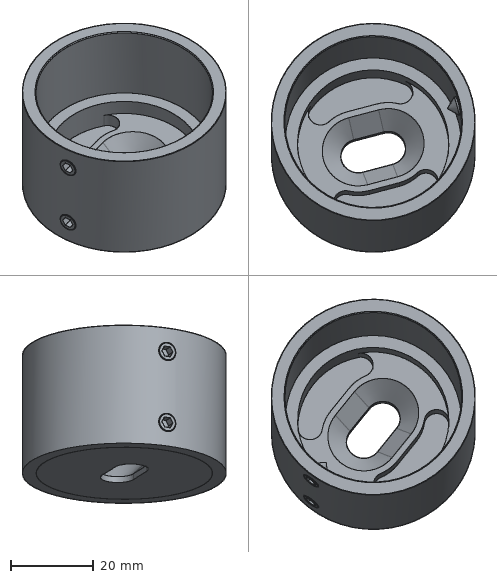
import cadquery as cq
import math

SLEEVE_DIAMETER = 49.5
SLEEVE_HEIGHT = 30.0
BORE_DIAMETER = 42.8
RIM_CHAMFER_OUTER = 0.1
RIM_CHAMFER_INNER = 0.25

BASE_DIAMETER = 42.7
BASE_HEIGHT = 10.0
RECESS_DIAMETER = 36.7
RECESS_FLOOR_Z = 6.0
POCKET_FLOOR_Z = 2.5

SLOT_WIDTH = 8.4
SLOT_CENTER_OFFSET = 3.75
SINK_WIDTH = 17.4
SINK_DEPTH = (SINK_WIDTH - SLOT_WIDTH) / 2

POCKET_INNER_RADIUS = 10.25
POCKET_END_RADIUS = 2.95

SCREW_DIAMETER = 4.55
SCREW_END_DIAMETER = 4.2
SCREW_END_CHAMFER = (SCREW_DIAMETER - SCREW_END_DIAMETER) / 2
SCREW_END_REACH = SLEEVE_DIAMETER / 2
SCREW_TIP_REACH = 18.65
SCREW_INSET = 6.0
SCREW_HEIGHTS = (SCREW_INSET, SLEEVE_HEIGHT - SCREW_INSET)
HEX_ACROSS_FLATS = 2.5
HEX_DEPTH = 2.48


def screw_envelope(z):
    """Outside shape of a set screw along Y at height z, without its hex socket."""
    radius = SCREW_DIAMETER / 2
    outline = (
        cq.Workplane("XY")
        .moveTo(0, -SCREW_END_REACH)
        .lineTo(SCREW_END_DIAMETER / 2, -SCREW_END_REACH)
        .lineTo(radius, -SCREW_END_REACH + SCREW_END_CHAMFER)
        .lineTo(radius, -SCREW_TIP_REACH - radius)
        .lineTo(0, -SCREW_TIP_REACH)
        .close()
    )
    return outline.revolve(360, (0, 0, 0), (0, 1, 0)).translate((0, 0, z))


def make_screw(z):
    """Set screw with a hex socket in its outer end."""
    socket = (
        cq.Workplane("XZ", origin=(0, -SCREW_END_REACH, z))
        .polygon(6, HEX_ACROSS_FLATS / math.cos(math.pi / 6))
        .extrude(-HEX_DEPTH)
    )
    return screw_envelope(z).cut(socket)


def screw_hole(z):
    """Straight round hole that runs from outside the sleeve to the start of the cone point."""
    cone_base_reach = SCREW_TIP_REACH + SCREW_DIAMETER / 2
    return (
        cq.Workplane("XZ", origin=(0, -cone_base_reach, z))
        .circle(SCREW_DIAMETER / 2)
        .extrude(SLEEVE_DIAMETER / 2 - cone_base_reach)
    )


def make_sleeve():
    outer = cq.Workplane("XY").circle(SLEEVE_DIAMETER / 2).extrude(SLEEVE_HEIGHT)
    outer = outer.faces(">Z").edges().chamfer(RIM_CHAMFER_OUTER)
    bore = cq.Workplane("XY").circle(BORE_DIAMETER / 2).extrude(SLEEVE_HEIGHT)
    bore_rim = outer.cut(bore).faces(">Z").edges(cq.selectors.RadiusNthSelector(0))
    sleeve = bore_rim.chamfer(RIM_CHAMFER_INNER)
    for z in SCREW_HEIGHTS:
        sleeve = sleeve.cut(screw_hole(z))
    return sleeve


def make_pocket():
    """Pocket on the +X side: bounded by the recess wall and an offset of the slot."""
    recess_radius = RECESS_DIAMETER / 2
    to_axis = recess_radius - POCKET_END_RADIUS
    to_slot_center = POCKET_INNER_RADIUS + POCKET_END_RADIUS
    end_y = (to_axis**2 - to_slot_center**2 + SLOT_CENTER_OFFSET**2) / (2 * SLOT_CENTER_OFFSET)
    end_x = math.sqrt(to_axis**2 - end_y**2)

    wall_angle = math.atan2(end_y, end_x)
    wall_x = recess_radius * math.cos(wall_angle)
    wall_y = recess_radius * math.sin(wall_angle)
    slot_angle = math.atan2(end_y - SLOT_CENTER_OFFSET, end_x)
    neck_x = POCKET_INNER_RADIUS * math.cos(slot_angle)
    neck_y = SLOT_CENTER_OFFSET + POCKET_INNER_RADIUS * math.sin(slot_angle)
    middle_angle = (wall_angle + slot_angle + math.pi) / 2
    end_mid_x = end_x + POCKET_END_RADIUS * math.cos(middle_angle)
    end_mid_y = end_y + POCKET_END_RADIUS * math.sin(middle_angle)
    slot_mid_x = POCKET_INNER_RADIUS * math.cos(slot_angle / 2)
    slot_mid_y = SLOT_CENTER_OFFSET + POCKET_INNER_RADIUS * math.sin(slot_angle / 2)

    return (
        cq.Workplane("XY", origin=(0, 0, POCKET_FLOOR_Z))
        .moveTo(wall_x, -wall_y)
        .threePointArc((recess_radius, 0), (wall_x, wall_y))
        .threePointArc((end_mid_x, end_mid_y), (neck_x, neck_y))
        .threePointArc((slot_mid_x, slot_mid_y), (POCKET_INNER_RADIUS, SLOT_CENTER_OFFSET))
        .lineTo(POCKET_INNER_RADIUS, -SLOT_CENTER_OFFSET)
        .threePointArc((slot_mid_x, -slot_mid_y), (neck_x, -neck_y))
        .threePointArc((end_mid_x, -end_mid_y), (wall_x, -wall_y))
        .close()
        .extrude(RECESS_FLOOR_Z - POCKET_FLOOR_Z)
    )


def make_slotted_floor():
    """Floor disc of the base with the slot, countersunk from its upper face."""
    floor = cq.Workplane("XY").circle(BASE_DIAMETER / 2).extrude(RECESS_FLOOR_Z)
    slot_length = 2 * SLOT_CENTER_OFFSET + SLOT_WIDTH
    slot = cq.Workplane("XY").slot2D(slot_length, SLOT_WIDTH, 90).extrude(RECESS_FLOOR_Z)
    slot_edges = floor.cut(slot).faces(">Z").wires(cq.selectors.LengthNthSelector(0))
    return slot_edges.chamfer(SINK_DEPTH)


def make_base():
    """Floor and ring wall, with the seat for the lower screw and a pocket on each side of the slot."""
    wall = (
        cq.Workplane("XY", origin=(0, 0, RECESS_FLOOR_Z))
        .circle(BASE_DIAMETER / 2)
        .circle(RECESS_DIAMETER / 2)
        .extrude(BASE_HEIGHT - RECESS_FLOOR_Z)
    )
    lower_z = min(SCREW_HEIGHTS)
    base = make_slotted_floor().union(wall).cut(screw_envelope(lower_z))
    for angle in (0, 180):
        base = base.cut(make_pocket().rotate((0, 0, 0), (0, 0, 1), angle))
    return base


sleeve = make_sleeve()
base = make_base()
screws = [make_screw(z) for z in SCREW_HEIGHTS]

result = cq.Compound.makeCompound(
    [sleeve.solids().val(), base.solids().val(), *[screw.solids().val() for screw in screws]]
)